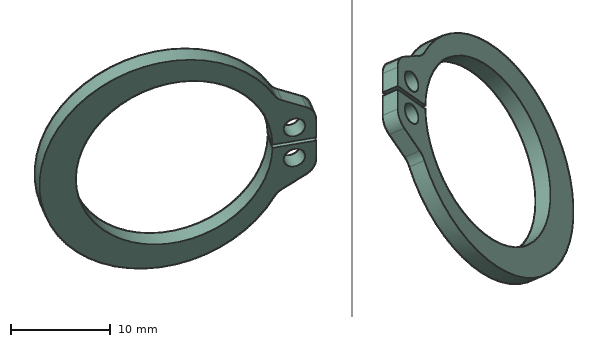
import cadquery as cq
import math

thickness = 1.93
total_length = 28.78
outer_radius = 13.07
bore_radius = 10.22
bore_offset = 0.95
gap = 0.4
lug_slope = 29.0
lug_corner_radius = 2.01
root_radius = 2.01
root_y = 11.63
root_reach = 0.3
hole_diameter = 2.22
hole_inset = 2.27
hole_height = 1.93

lug_end = total_length - outer_radius
root_z = math.sqrt(outer_radius**2 - root_y**2)
corner_z = root_z - (lug_end - root_y) * math.tan(math.radians(lug_slope))


def plate(outline):
    """Extrude a YZ outline to the ring thickness, centred on X = 0."""
    return outline.extrude(thickness / 2, both=True)


def lug_pair():
    """Both lugs as one tapered block, reaching into the ring body."""
    outline = cq.Workplane("YZ").polyline([
        (0, -root_z),
        (root_y, -root_z),
        (lug_end, -corner_z),
        (lug_end, corner_z),
        (root_y, root_z),
        (0, root_z),
    ]).close()
    return plate(outline).edges("|X and >Y").fillet(lug_corner_radius)


def lug_holes():
    centres = [(lug_end - hole_inset, side * hole_height) for side in (-1, 1)]
    return plate(cq.Workplane("YZ").pushPoints(centres).circle(hole_diameter / 2))


disc = plate(cq.Workplane("YZ").circle(outer_radius))
body = disc.union(lug_pair())

for side in (-1, 1):
    z = side * root_z
    root_box = cq.selectors.BoxSelector(
        (-thickness, root_y - root_reach, z - root_reach),
        (thickness, root_y + root_reach, z + root_reach),
    )
    body = body.edges(root_box).edges("|X").fillet(root_radius)

bore = plate(cq.Workplane("YZ").center(bore_offset, 0).circle(bore_radius))
slit = plate(cq.Workplane("YZ").center(lug_end / 2, 0).rect(lug_end, gap))

result = body.cut(bore).cut(slit).cut(lug_holes())